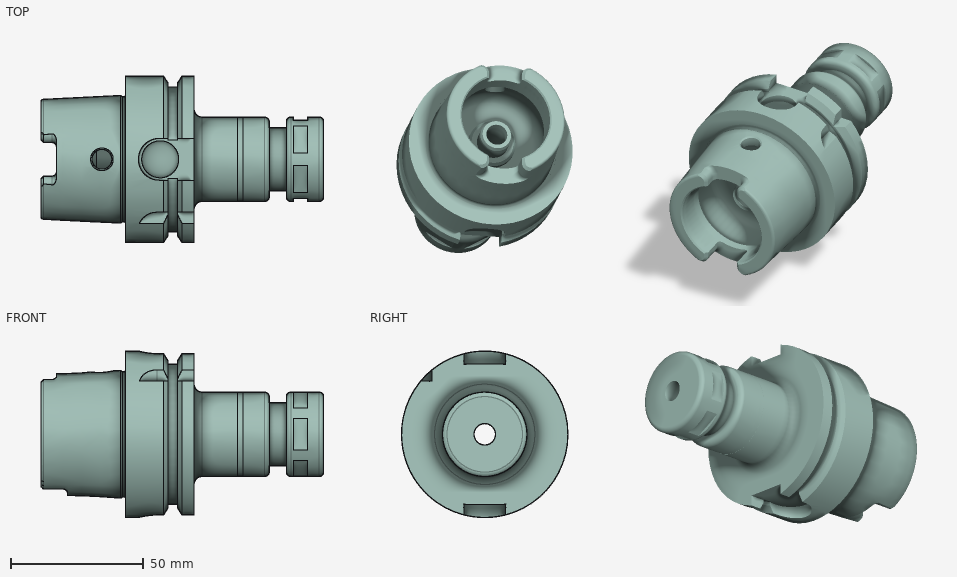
import cadquery as cq
import math


total_length = 107.0
flange_start = 32.0
flange_end = 58.0
bore_depth = 31.0

shank_end_radius = 22.7
shank_base_radius = 24.2
shank_base_x = 30.2
shank_edge_round = 1.1
relief_radius = 23.8
relief_start = 30.8
relief_round = 0.6
face_recess_radius = 25.1
face_recess_depth = 0.2

flange_radius = 63.0 / 2
groove_radius = 27.5
groove_wall_radius = 28.9
groove_start = 48.2
groove_end = 51.7
groove_flank_run = 1.7

body_radius = 32.0 / 2
body_end = 86.5
body_root_round = 3.0
body_end_round = 1.9
ring_start = 74.5
ring_end = 76.5
ring_radius = 31.9 / 2
neck_radius = 24.0 / 2
nut_start = 92.9
nut_radius = body_radius
nut_round = 1.7
flat_distance = 14.9
flat_start = 95.5
flat_end = 100.9
flat_count = 6

bore_radius = 34.0 / 2
bore_mouth_chamfer = 0.5
bore_lip_length = 13.1
lip_flank_angle = 30
chamber_radius = 20.0
bore_floor_radius = 31.6 / 2
through_radius = 8.0 / 2

tube_base_radius = 18.0 / 2
tube_base_front_radius = 16.0 / 2
tube_base_start = 28.4
pipe_radius = 12.0 / 2
pipe_start = 19.3
pipe_edge_radius = 10.9 / 2
pipe_taper_end = 21.0

slot_half_width = 6.3
slot_flare_round = 3.0
slot_flare_top = 20.8
slot_floor_round = 1.6
slot_mouth_chamfer = 1.1
top_slot_depth = 5.9
bottom_slot_depth = 10.1

access_hole_x = 23.1
access_hole_radius = 7.5 / 2
access_hole_chamfer = 0.5

keyway_floor = 26.5
keyway_radius = 7.9
keyway_center_x = 44.8
pocket_radius = 14.0 / 2
pocket_center_x = 45.2
pocket_depth = 2.7
notch_floor = 20.1
notch_wall = 20.0
notch_round = 7.3
notch_center_x = 43.9


def make_outside():
    """Revolve the outer profile and round the edge of the shank end."""
    recess_x = flange_start + face_recess_depth
    return (
        cq.Workplane("XY")
        .moveTo(0, 0)
        .lineTo(0, shank_end_radius)
        .lineTo(shank_base_x, shank_base_radius)
        .lineTo(relief_start, relief_radius)
        .lineTo(recess_x - relief_round, relief_radius)
        .radiusArc((recess_x, relief_radius + relief_round), -relief_round)
        .lineTo(recess_x, face_recess_radius)
        .lineTo(flange_start, face_recess_radius)
        .lineTo(flange_start, flange_radius)
        .lineTo(groove_start - groove_flank_run, flange_radius)
        .lineTo(groove_start, groove_wall_radius)
        .lineTo(groove_start, groove_radius)
        .lineTo(groove_end, groove_radius)
        .lineTo(groove_end, groove_wall_radius)
        .lineTo(groove_end + groove_flank_run, flange_radius)
        .lineTo(flange_end, flange_radius)
        .lineTo(flange_end, body_radius + body_root_round)
        .radiusArc((flange_end + body_root_round, body_radius), -body_root_round)
        .lineTo(ring_start, body_radius)
        .lineTo(ring_start, ring_radius)
        .lineTo(ring_end, ring_radius)
        .lineTo(ring_end, body_radius)
        .lineTo(body_end - body_end_round, body_radius)
        .radiusArc((body_end, body_radius - body_end_round), body_end_round)
        .lineTo(body_end, neck_radius)
        .lineTo(nut_start, neck_radius)
        .lineTo(nut_start, nut_radius - nut_round)
        .radiusArc((nut_start + nut_round, nut_radius), nut_round)
        .lineTo(total_length - nut_round, nut_radius)
        .radiusArc((total_length, nut_radius - nut_round), nut_round)
        .lineTo(total_length, 0)
        .close()
        .revolve(360, (0, 0, 0), (1, 0, 0))
        .faces("<X")
        .edges()
        .fillet(shank_edge_round)
    )


def make_bore():
    """Revolve the clamping bore with its undercut chamber, around the coolant tube."""
    floor_round = chamber_radius - bore_floor_radius
    lip_run = (chamber_radius - bore_radius) * math.tan(math.radians(lip_flank_angle))
    return (
        cq.Workplane("XY")
        .moveTo(0, 0)
        .lineTo(0, bore_radius + bore_mouth_chamfer)
        .lineTo(bore_mouth_chamfer, bore_radius)
        .lineTo(bore_lip_length, bore_radius)
        .lineTo(bore_lip_length + lip_run, chamber_radius)
        .lineTo(bore_depth - floor_round, chamber_radius)
        .radiusArc((bore_depth, bore_floor_radius), floor_round)
        .lineTo(bore_depth, tube_base_radius)
        .lineTo(tube_base_start + tube_base_radius - tube_base_front_radius, tube_base_radius)
        .lineTo(tube_base_start, tube_base_front_radius)
        .lineTo(tube_base_start, pipe_radius)
        .lineTo(pipe_taper_end, pipe_radius)
        .lineTo(pipe_start, pipe_edge_radius)
        .lineTo(pipe_start, through_radius)
        .lineTo(total_length, through_radius)
        .lineTo(total_length, 0)
        .close()
        .revolve(360, (0, 0, 0), (1, 0, 0))
    )


def draw_slot_section(plane, growth):
    """Slot section on +Z with walls flaring outwards, grown evenly into the shank wall."""
    half_width = slot_half_width + growth
    flare_round = slot_flare_round - growth
    flare_y = half_width + flare_round
    flare_top = slot_flare_top - growth
    flare_z = flare_top - flare_round
    outer = shank_base_radius + slot_flare_round
    return (
        plane.moveTo(-half_width, 0)
        .lineTo(-half_width, flare_z)
        .radiusArc((-flare_y, flare_top), -flare_round)
        .lineTo(-outer, flare_top)
        .lineTo(-outer, outer)
        .lineTo(outer, outer)
        .lineTo(outer, flare_top)
        .lineTo(flare_y, flare_top)
        .radiusArc((half_width, flare_z), -flare_round)
        .lineTo(half_width, 0)
        .close()
    )


def make_drive_slot(depth):
    """Slot cutter on +Z with a rounded floor edge and a chamfered mouth."""
    slot = draw_slot_section(cq.Workplane("YZ"), 0).extrude(depth)
    slot = slot.faces(">X").edges().fillet(slot_floor_round)
    mouth = draw_slot_section(cq.Workplane("YZ"), slot_mouth_chamfer)
    mouth = mouth.workplane(offset=slot_mouth_chamfer)
    mouth = draw_slot_section(mouth, 0).loft(ruled=True)
    return slot.union(mouth)


def make_access_hole():
    """Radial hole on +Z into the undercut chamber."""
    start = cq.Workplane("XY", origin=(access_hole_x, 0, bore_radius))
    return start.circle(access_hole_radius).extrude(flange_radius)


def chamfer_access_hole(body):
    """Chamfer the edge where the access hole meets the taper."""
    mouth_point = (access_hole_x, 0, shank_base_radius)
    mouth_edge = body.edges(cq.selectors.NearestToPointSelector(mouth_point))
    return mouth_edge.chamfer(access_hole_chamfer)


def make_keyway():
    """Round-ended keyway on the +Z side of the flange, open towards +X."""
    run = flange_end - keyway_center_x
    start = cq.Workplane("XY", origin=(keyway_center_x, 0, keyway_floor))
    round_end = start.circle(keyway_radius).extrude(flange_radius)
    straight = start.center(run / 2, 0).rect(run, 2 * keyway_radius).extrude(flange_radius)
    return round_end.union(straight)


def make_pocket():
    """Shallow round pocket in the floor of the +Z keyway."""
    base = cq.Workplane("XY", origin=(pocket_center_x, 0, keyway_floor - pocket_depth))
    return base.circle(pocket_radius).extrude(flange_radius)


def make_notch():
    """Corner notch at -Y, +Z with a flat floor, a side wall and a rounded inner end."""
    center_y = -notch_wall - notch_round
    return (
        cq.Workplane("XY", origin=(0, 0, notch_floor))
        .moveTo(flange_end, -notch_wall)
        .lineTo(notch_center_x, -notch_wall)
        .radiusArc((notch_center_x - notch_round, center_y), -notch_round)
        .lineTo(notch_center_x - notch_round, -flange_radius)
        .lineTo(flange_end, -flange_radius)
        .close()
        .extrude(flange_radius)
    )


def make_nut_flat(angle):
    """Cutter for one wrench flat of the nut, facing -Y before turning about the axis."""
    flat = cq.Workplane("XY").box(flat_end - flat_start, nut_radius, nut_radius * 2)
    middle = (flat_start + flat_end) / 2
    flat = flat.translate((middle, -flat_distance - nut_radius / 2, 0))
    return flat.rotate((0, 0, 0), (1, 0, 0), angle)


def turn_over(shape):
    """Turn a cutter from the +Z side to the -Z side."""
    return shape.rotate((0, 0, 0), (1, 0, 0), 180)


result = make_outside()
result = result.cut(make_bore())
result = result.cut(make_access_hole())
result = chamfer_access_hole(result)
result = result.cut(make_drive_slot(top_slot_depth))
result = result.cut(turn_over(make_drive_slot(bottom_slot_depth)))
result = result.cut(make_keyway())
result = result.cut(turn_over(make_keyway()))
result = result.cut(make_pocket())
result = result.cut(make_notch())
for index in range(flat_count):
    result = result.cut(make_nut_flat(index * 360 / flat_count))